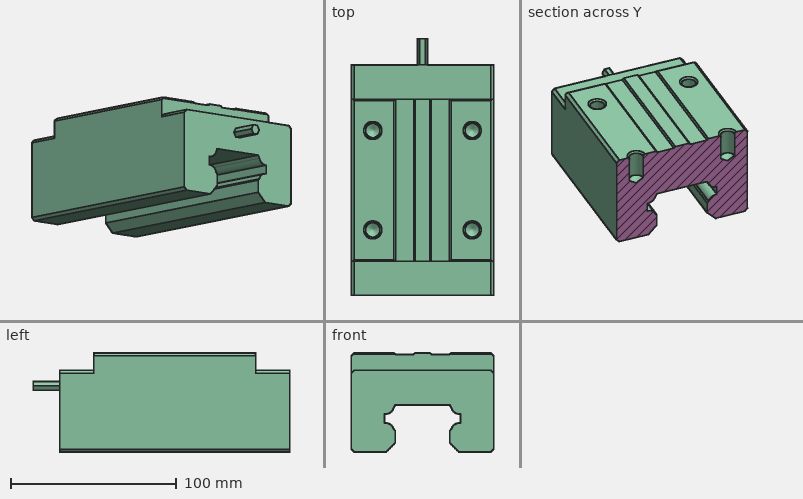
import cadquery as cq
import math


width = 86.0
height = 60.0
total_length = 155.0
pin_length = 16.0
body_length = total_length - pin_length
block_length = 98.0
cap_height = 49.5
edge_chamfer = 1.9

slot_half_width = 16.5
slot_top = 28.4
mouth_chamfer = 5.6
groove_half_width = 22.8
groove_z = 20.3
groove_half_height = 2.6
lip_arc_end_half_width = 17.4
lip_arc_end_offset = 6.4
lip_arc_radius = 5.3
lip_edge_offset = lip_arc_end_offset + lip_arc_end_half_width - slot_half_width

channel_depth = 1.0
pad_inner_half_width = 16.3
rib_half_width = 5.5
land_bevel = channel_depth
channel_floor = height - channel_depth

hole_pitch = 60.0
hole_diameter = 8.7
hole_mouth_diameter = 10.8
hole_depth = 17.0
drill_tip_angle = 118.0

pin_across_flats = 5.5
pin_across_corners = pin_across_flats / math.cos(math.radians(30))
pin_z = 40.0


def make_chamfered_bar(length, top):
    """A bar along Y whose four long edges are chamfered."""
    bar = cq.Workplane("XY").box(width, length, top, centered=(True, True, False))
    return bar.edges("|Y").chamfer(edge_chamfer)


def bulge_point(start, end, radius, outward):
    """Middle point of the arc from start to end that bulges along the given direction."""
    chord_x = end[0] - start[0]
    chord_z = end[1] - start[1]
    chord = math.hypot(chord_x, chord_z)
    sagitta = radius - math.sqrt(radius**2 - (chord / 2) ** 2)
    normal = (-chord_z / chord, chord_x / chord)
    side = math.copysign(sagitta, normal[0] * outward[0] + normal[1] * outward[1])
    middle_x = (start[0] + end[0]) / 2
    middle_z = (start[1] + end[1]) / 2
    return (middle_x + side * normal[0], middle_z + side * normal[1])


def make_half_slot():
    """Right half of the rail slot; both lips of the groove are convex toward the slot."""
    lower_wall = (groove_half_width, groove_z - groove_half_height)
    upper_wall = (groove_half_width, groove_z + groove_half_height)
    lower_lip = (lip_arc_end_half_width, groove_z - lip_arc_end_offset)
    upper_lip = (lip_arc_end_half_width, groove_z + lip_arc_end_offset)
    lower_bulge = bulge_point(lower_lip, lower_wall, lip_arc_radius, (-1, 1))
    upper_bulge = bulge_point(upper_wall, upper_lip, lip_arc_radius, (-1, -1))
    profile = (
        cq.Workplane("XZ", origin=(0, body_length / 2, 0))
        .moveTo(0, 0)
        .lineTo(slot_half_width + mouth_chamfer, 0)
        .lineTo(slot_half_width, mouth_chamfer)
        .lineTo(slot_half_width, groove_z - lip_edge_offset)
        .lineTo(*lower_lip)
        .threePointArc(lower_bulge, lower_wall)
        .lineTo(*upper_wall)
        .threePointArc(upper_bulge, upper_lip)
        .lineTo(slot_half_width, slot_top)
        .lineTo(0, slot_top)
        .close()
    )
    return profile.extrude(body_length)


def make_half_channel():
    """Right-hand channel between rib and pad, with 45 degree flanks."""
    profile = (
        cq.Workplane("XZ", origin=(0, block_length / 2, 0))
        .moveTo(rib_half_width, channel_floor)
        .lineTo(pad_inner_half_width, channel_floor)
        .lineTo(pad_inner_half_width + land_bevel, height)
        .lineTo(rib_half_width - land_bevel, height)
        .close()
    )
    return profile.extrude(block_length)


def make_pad_end_bevel():
    """Wedge that bevels the rear edge of the right-hand pad."""
    block_end = block_length / 2
    profile = (
        cq.Workplane("YZ", origin=(pad_inner_half_width, 0, 0))
        .moveTo(block_end, channel_floor)
        .lineTo(block_end, height)
        .lineTo(block_end - land_bevel, height)
        .close()
    )
    return profile.extrude(width / 2 - pad_inner_half_width)


def make_hole():
    """Blind hole with a countersunk mouth, pointing down from the origin."""
    hole_radius = hole_diameter / 2
    mouth_radius = hole_mouth_diameter / 2
    mouth_depth = mouth_radius - hole_radius
    tip_length = hole_radius / math.tan(math.radians(drill_tip_angle / 2))
    profile = (
        cq.Workplane("XZ")
        .moveTo(0, 0)
        .lineTo(mouth_radius, 0)
        .lineTo(hole_radius, -mouth_depth)
        .lineTo(hole_radius, -hole_depth)
        .lineTo(0, -hole_depth - tip_length)
        .close()
    )
    return profile.revolve(360, (0, 0, 0), (0, 1, 0))


def make_pin():
    """Hexagonal pin with two corners pointing sideways, standing on the rear end face."""
    rear_face = cq.Workplane("XZ", origin=(0, body_length / 2, pin_z))
    return rear_face.polygon(6, pin_across_corners).extrude(-pin_length)


carriage = make_chamfered_bar(body_length, cap_height)
carriage = carriage.union(make_chamfered_bar(block_length, height))

for half in (make_half_slot(), make_half_channel()):
    carriage = carriage.cut(half).cut(half.mirror("YZ"))

rear_bevel = make_pad_end_bevel()
for bevel in (rear_bevel, rear_bevel.mirror("XZ")):
    carriage = carriage.cut(bevel).cut(bevel.mirror("YZ"))

hole = make_hole()
for x_side in (-1, 1):
    for y_side in (-1, 1):
        place = (x_side * hole_pitch / 2, y_side * hole_pitch / 2, height)
        carriage = carriage.cut(hole.translate(place))

result = carriage.union(make_pin())